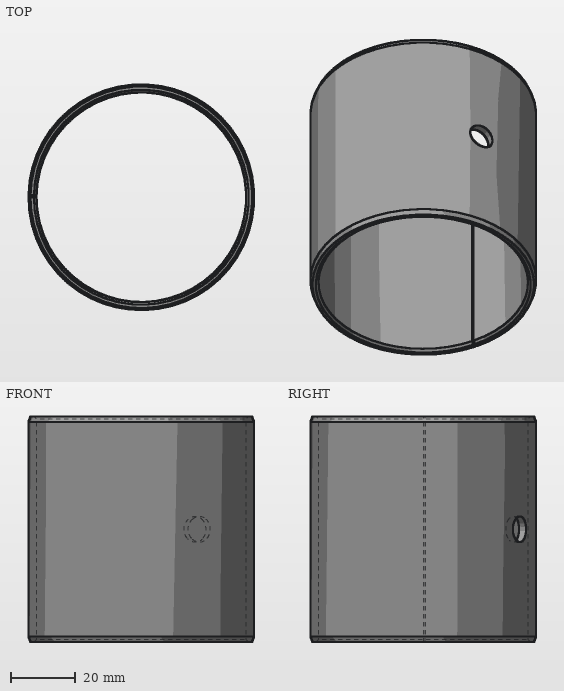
import cadquery as cq
import math

outer_diameter = 70.0
length = 70.0
wall = 2.5
outer_chamfer_height = 1.7
outer_chamfer_depth = 0.6
inner_chamfer = 0.85
slit_angle = 1.0
hole_diameter = 8.0
hole_angle = 59.0

outer_radius = outer_diameter / 2
inner_radius = outer_radius - wall
half_length = length / 2


def bushing_body():
    """Revolve the chamfered wall section, leaving the joint gap open just beyond -X on the +Y side."""
    rim_outer = outer_radius - outer_chamfer_depth
    rim_inner = inner_radius + inner_chamfer
    outer_edge = half_length - outer_chamfer_height
    inner_edge = half_length - inner_chamfer
    section = [
        (rim_inner, -half_length),
        (rim_outer, -half_length),
        (outer_radius, -outer_edge),
        (outer_radius, outer_edge),
        (rim_outer, half_length),
        (rim_inner, half_length),
        (inner_radius, inner_edge),
        (inner_radius, -inner_edge),
    ]
    ring = cq.Workplane("XZ").polyline(section).close().revolve(360 - slit_angle, (0, 0, 0), (0, 1, 0))
    return ring.rotate((0, 0, 0), (0, 0, 1), 180)


def oil_hole():
    """Radial hole through one side of the wall at mid-length."""
    angle = math.radians(hole_angle)
    direction = cq.Vector(math.cos(angle), math.sin(angle), 0)
    drill = cq.Solid.makeCylinder(hole_diameter / 2, outer_radius, cq.Vector(0, 0, 0), direction)
    return cq.Workplane(drill)


result = bushing_body().cut(oil_hole())